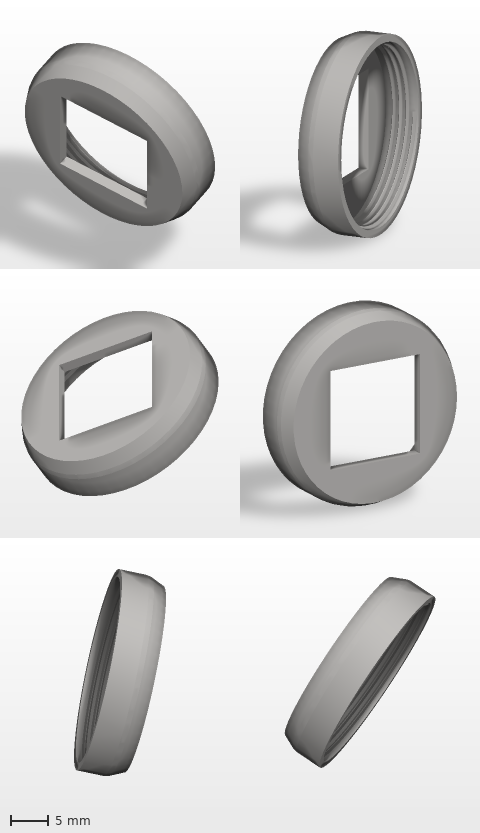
import cadquery as cq

OUTER_RADIUS = 13.75
RING_DEPTH = 6.3
FACE_RADIUS = 12.73
TAPER_DEPTH = 2.23
RIM_FILLET = 1.85
WINDOW_SIDE = 14.0
FRONT_WALL = 1.5
BORE_RADIUS = 12.7

THREAD_PITCH = 1.0
THREAD_HEIGHT = 0.45
THREAD_ROOT_WIDTH = 0.7
THREAD_CREST_WIDTH = 0.1
THREAD_START = 2.2
THREAD_TURNS = 3.5
ROOT_OVERLAP = 0.08


def rim_body():
    """Solid disc with a tapered front rim blended into the outer cylinder."""
    profile = (
        cq.Workplane("XY")
        .moveTo(0, 0)
        .lineTo(FACE_RADIUS, 0)
        .lineTo(OUTER_RADIUS, TAPER_DEPTH)
        .lineTo(OUTER_RADIUS, RING_DEPTH)
        .lineTo(0, RING_DEPTH)
        .close()
    )
    disc = profile.revolve(360, (0, 0, 0), (0, 1, 0))
    corner = cq.selectors.BoxSelector(
        (-OUTER_RADIUS - 0.28, TAPER_DEPTH - 0.03, -OUTER_RADIUS - 0.28),
        (OUTER_RADIUS + 0.28, TAPER_DEPTH + 0.03, OUTER_RADIUS + 0.28),
        boundingbox=True,
    )
    return disc.edges(corner).fillet(RIM_FILLET)


def bore():
    """Round recess open at the back, leaving the front wall."""
    front = cq.Workplane("XZ", origin=(0, FRONT_WALL, 0))
    return front.circle(BORE_RADIUS).extrude(FRONT_WALL - RING_DEPTH)


def window():
    """Square opening through the front wall."""
    return cq.Workplane("XZ").rect(WINDOW_SIDE, WINDOW_SIDE).extrude(-RING_DEPTH)


def thread():
    """Helical ridge of trapezoidal section standing inward from the bore."""
    path = cq.Wire.makeHelix(THREAD_PITCH, THREAD_PITCH * THREAD_TURNS, BORE_RADIUS)
    root_half = THREAD_ROOT_WIDTH / 2
    crest_half = THREAD_CREST_WIDTH / 2
    root = BORE_RADIUS + ROOT_OVERLAP
    crest = BORE_RADIUS - THREAD_HEIGHT
    section = (
        cq.Workplane("XZ")
        .moveTo(root, -root_half)
        .lineTo(crest, -crest_half)
        .lineTo(crest, crest_half)
        .lineTo(root, root_half)
        .close()
    )
    ridge = section.sweep(cq.Workplane(obj=path), isFrenet=True)
    return ridge.rotate((0, 0, 0), (1, 0, 0), -90).translate((0, THREAD_START, 0))


result = rim_body().cut(bore()).cut(window()).union(thread())